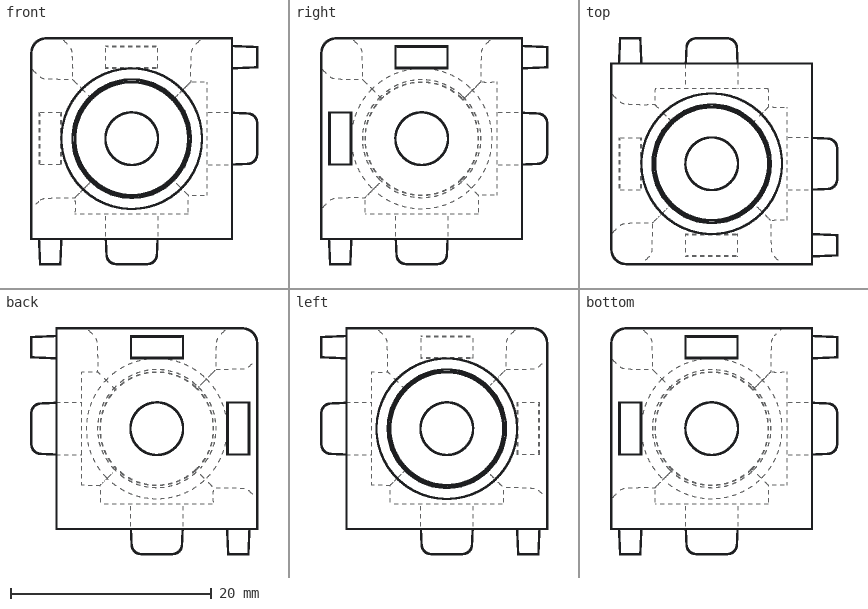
import cadquery as cq

overall = 22.5
tab_height = 2.5
cube = overall - tab_height
middle = cube / 2
edge_radius = 1.5

mouth_radius = 7.0
chamfer = 0.75
neck_radius = 5.95
neck_depth = 1.45
floor_radius = 5.62
floor_thickness = 2.5
hole_radius = 2.6

tab_width = 5.18
tab_thickness = 2.25
tab_inset = 1.9
tab_draft = 2.5
tab_corner_radius = 1.0


def rounded_cube():
    """Cube whose three edges meeting at the (-X, -Y, +Z) corner are rounded."""
    block = cq.Workplane("XY").box(cube, cube, cube, centered=False)
    corner_edges = block.edges("(<X and <Y) or (<X and >Z) or (<Y and >Z)")
    return corner_edges.fillet(edge_radius)


def bore_cutter():
    """Bore down from the top: chamfer, rounded neck, tapered wall, flat floor and a through hole."""
    profile = (
        cq.Workplane("YZ")
        .moveTo(0, cube)
        .lineTo(mouth_radius, cube)
        .lineTo(mouth_radius - chamfer, cube - chamfer)
        .tangentArcPoint((neck_radius, cube - neck_depth), relative=False)
        .lineTo(floor_radius, floor_thickness)
        .lineTo(hole_radius, floor_thickness)
        .lineTo(hole_radius, 0)
        .lineTo(0, 0)
        .close()
    )
    return profile.revolve(360, (0, 0, 0), (0, 1, 0)).translate((middle, middle, 0))


def bottom_tab():
    """Tab under the bottom face, wide along X, beside the -Y face."""
    return (
        cq.Workplane("XY")
        .rect(tab_width, tab_thickness)
        .extrude(-tab_height, taper=tab_draft)
        .faces("<Z")
        .edges("|Y")
        .fillet(tab_corner_radius)
        .translate((middle, tab_inset, 0))
    )


def around_corner(body):
    """Three copies of a body, turned about the cube diagonal through the rounded corner."""
    rounded_corner = (0, 0, cube)
    opposite_corner = (cube, cube, 0)
    return [body.rotate(rounded_corner, opposite_corner, angle) for angle in (0, 120, 240)]


result = rounded_cube()

tab_beside_y = bottom_tab()
tab_beside_x = tab_beside_y.mirror((1, -1, 0))
for tab in around_corner(tab_beside_y) + around_corner(tab_beside_x):
    result = result.union(tab)

for cutter in around_corner(bore_cutter()):
    result = result.cut(cutter)